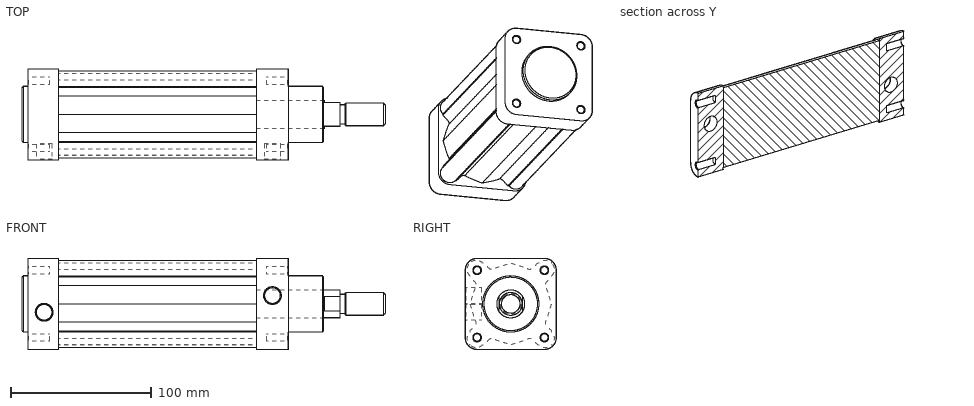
import cadquery as cq
import math


TOTAL_LENGTH = 259.0
REAR_SPIGOT_LENGTH = 4.1
REAR_CAP_LENGTH = 22.0
BARREL_LENGTH = 141.0
FRONT_CAP_LENGTH = 22.8
FRONT_BOSS_LENGTH = 25.0
REAR_CAP_START = REAR_SPIGOT_LENGTH
BARREL_START = REAR_CAP_START + REAR_CAP_LENGTH
FRONT_CAP_START = BARREL_START + BARREL_LENGTH
FRONT_BOSS_START = FRONT_CAP_START + FRONT_CAP_LENGTH
FRONT_BOSS_END = FRONT_BOSS_START + FRONT_BOSS_LENGTH

CAP_WIDTH = 65.0
CAP_CORNER_RADIUS = 8.5
BOSS_DIAMETER = 40.1
BOSS_CHAMFER = 1.0

MOUNT_HOLE_SPACING = 48.0
MOUNT_HOLE_DIAMETER = 5.2
MOUNT_HOLE_DEPTH = 15.5
MOUNT_HOLE_CHAMFER = 0.5

PORT_DIAMETER = 11.1
PORT_DEPTH = 11.7
PORT_CHAMFER = 0.8
PORT_AXIS_OFFSET = 6.0
REAR_PORT_SETBACK = 10.4
FRONT_PORT_SETBACK = 11.5

LOBE_CENTRE = 24.5
LOBE_RADIUS = 6.5
RIDGE_HEIGHT = 29.0
RIDGE_SLOPE = math.radians(17)
FLANK_ACROSS = 7.5
SHOULDER_ACROSS = 13.0
SHOULDER_SLOPE = math.radians(25)
VALLEY_END_ACROSS = 15.5
WALL_SLOPE = math.radians(45)
LEDGE_WIDTH = 0.8

ROD_DIAMETER = 20.0
FLATS_WIDTH = 17.0
COLLAR_LENGTH = 0.5
FLATS_LENGTH = 11.1
NECK_DIAMETER = 14.0
NECK_LENGTH = 3.4
THREAD_DIAMETER = 16.3
THREAD_START_CHAMFER = 0.8
THREAD_TIP_CHAMFER = 1.5
FLATS_START = FRONT_BOSS_END + COLLAR_LENGTH
NECK_START = FLATS_START + FLATS_LENGTH
THREAD_START = NECK_START + NECK_LENGTH


def cylinder(start, end, diameter):
    """Solid cylinder on the X axis between two stations."""
    return cq.Workplane("YZ", origin=(start, 0, 0)).circle(diameter / 2).extrude(end - start)


def cap_block(start, length):
    """Square block with rounded corners along the axis."""
    block = cq.Workplane("YZ", origin=(start, 0, 0)).rect(CAP_WIDTH, CAP_WIDTH).extrude(length)
    return block.edges("|X").fillet(CAP_CORNER_RADIUS)


def drill(point, direction, diameter, depth, chamfer):
    """Cutter for a flat-bottomed hole with a chamfered mouth at the given point."""
    hole = cq.Solid.makeCylinder(diameter / 2, depth, point, direction)
    mouth = cq.Solid.makeCone(diameter / 2 + chamfer, diameter / 2, chamfer, point, direction)
    return cq.Workplane(hole.fuse(mouth))


def cut_mount_holes(cap, face_x, inward):
    """Four corner holes entering the outer face; inward is +1 or -1 along X."""
    half = MOUNT_HOLE_SPACING / 2
    for y in (-half, half):
        for z in (-half, half):
            cap = cap.cut(
                drill(
                    cq.Vector(face_x, y, z),
                    cq.Vector(inward, 0, 0),
                    MOUNT_HOLE_DIAMETER,
                    MOUNT_HOLE_DEPTH,
                    MOUNT_HOLE_CHAMFER,
                )
            )
    return cap


def cut_port(cap, x, z):
    """Air port entering the -Y side."""
    mouth_centre = cq.Vector(x, -CAP_WIDTH / 2, z)
    return cap.cut(drill(mouth_centre, cq.Vector(0, 1, 0), PORT_DIAMETER, PORT_DEPTH, PORT_CHAMFER))


def make_rear_cap():
    spigot = cylinder(0, REAR_CAP_START, BOSS_DIAMETER).faces("<X").chamfer(BOSS_CHAMFER)
    cap = cap_block(REAR_CAP_START, REAR_CAP_LENGTH).union(spigot)
    cap = cut_mount_holes(cap, REAR_CAP_START, 1)
    return cut_port(cap, BARREL_START - REAR_PORT_SETBACK, -PORT_AXIS_OFFSET)


def make_front_cap():
    boss = cylinder(FRONT_BOSS_START, FRONT_BOSS_END, BOSS_DIAMETER).faces(">X").chamfer(BOSS_CHAMFER)
    cap = cap_block(FRONT_CAP_START, FRONT_CAP_LENGTH).union(boss)
    cap = cut_mount_holes(cap, FRONT_BOSS_START, -1)
    cap = cut_port(cap, FRONT_CAP_START + FRONT_PORT_SETBACK, PORT_AXIS_OFFSET)
    return cap.cut(cylinder(FRONT_CAP_START, FRONT_BOSS_END, ROD_DIAMETER))


def bulged_middle(start, end, turn):
    """Middle of an arc that turns left by the given angle between two points (right if negative)."""
    run = end[0] - start[0]
    rise = end[1] - start[1]
    bulge = math.tan(turn / 4) / 2
    return ((start[0] + end[0]) / 2 + bulge * rise, (start[1] + end[1]) / 2 - bulge * run)


def make_barrel():
    """Extruded profile with four ridged sides joined by round corner lobes."""
    lobe_reach = LOBE_RADIUS * math.sqrt(0.5)
    lobe_inner = LOBE_CENTRE - lobe_reach
    lobe_outer = LOBE_CENTRE + lobe_reach
    ridge = (0, RIDGE_HEIGHT)
    flank = (FLANK_ACROSS, RIDGE_HEIGHT - FLANK_ACROSS * math.tan(RIDGE_SLOPE))
    shoulder_drop = (SHOULDER_ACROSS - FLANK_ACROSS) * math.tan((RIDGE_SLOPE + SHOULDER_SLOPE) / 2)
    shoulder = (SHOULDER_ACROSS, flank[1] - shoulder_drop)
    wall_top = (lobe_inner - LEDGE_WIDTH, lobe_outer)
    wall_rise = (wall_top[0] - VALLEY_END_ACROSS) * math.tan(WALL_SLOPE)
    valley_end = (VALLEY_END_ACROSS, wall_top[1] - wall_rise)
    ledge_end = (lobe_inner, lobe_outer)

    shoulder_middle = bulged_middle(flank, shoulder, RIDGE_SLOPE - SHOULDER_SLOPE)
    valley_slope = math.atan2(valley_end[1] - shoulder[1], valley_end[0] - shoulder[0])
    valley_middle = bulged_middle(shoulder, valley_end, 2 * (WALL_SLOPE - valley_slope))

    def on_side(point, quarter):
        """Point of the top side carried clockwise to another side."""
        y, z = point
        for _ in range(quarter):
            y, z = z, -y
        return (y, z)

    def mirrored(point, quarter):
        """Same as on_side, for the mirror image of the point in the left half."""
        return on_side((-point[0], point[1]), quarter)

    outline = cq.Workplane("YZ", origin=(BARREL_START, 0, 0)).moveTo(*mirrored(ledge_end, 0))
    for quarter in range(4):
        outline = (
            outline.lineTo(*mirrored(wall_top, quarter))
            .lineTo(*mirrored(valley_end, quarter))
            .threePointArc(mirrored(valley_middle, quarter), mirrored(shoulder, quarter))
            .threePointArc(mirrored(shoulder_middle, quarter), mirrored(flank, quarter))
            .lineTo(*on_side(ridge, quarter))
            .lineTo(*on_side(flank, quarter))
            .threePointArc(on_side(shoulder_middle, quarter), on_side(shoulder, quarter))
            .threePointArc(on_side(valley_middle, quarter), on_side(valley_end, quarter))
            .lineTo(*on_side(wall_top, quarter))
            .lineTo(*on_side(ledge_end, quarter))
            .threePointArc(
                on_side((lobe_outer, lobe_outer), quarter),
                mirrored(ledge_end, quarter + 1),
            )
        )
    return outline.close().extrude(BARREL_LENGTH)


def make_rod():
    """Rod through the front cap, with two spanner flats facing -Y and +Y, a neck and a thread."""
    shank = cylinder(FRONT_CAP_START, NECK_START, ROD_DIAMETER)
    flats_centre = (FLATS_START + NECK_START) / 2
    for side in (-1, 1):
        y = side * (FLATS_WIDTH + ROD_DIAMETER) / 2
        waste = cq.Workplane(origin=(flats_centre, y, 0)).box(FLATS_LENGTH, ROD_DIAMETER, ROD_DIAMETER)
        shank = shank.cut(waste)
    neck = cylinder(NECK_START, THREAD_START, NECK_DIAMETER)
    thread = cylinder(THREAD_START, TOTAL_LENGTH, THREAD_DIAMETER)
    thread = thread.faces("<X").chamfer(THREAD_START_CHAMFER)
    thread = thread.faces(">X").chamfer(THREAD_TIP_CHAMFER)
    return shank.union(neck).union(thread)


rear_cap = make_rear_cap()
barrel = make_barrel()
front_cap = make_front_cap()
rod = make_rod()

result = cq.Compound.makeCompound([rear_cap.val(), barrel.val(), front_cap.val(), rod.val()])